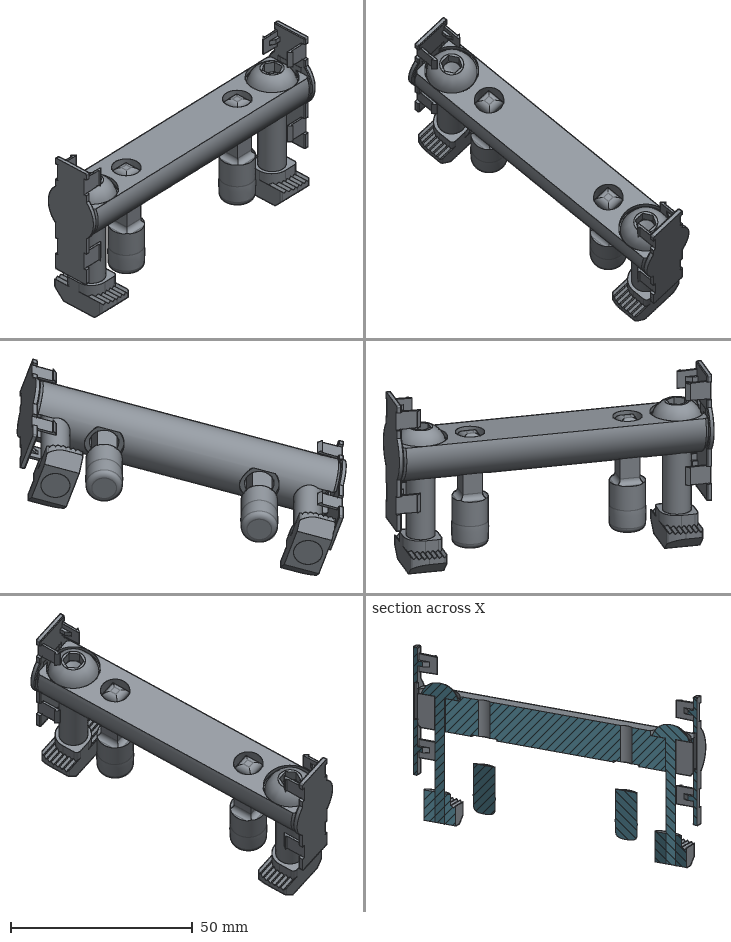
import cadquery as cq
import math

ENDS = (1, -1)
TOTAL_LENGTH = 89.8

plate_thickness = 1.35
plate_width = 11.7
plate_top = 15.7
plate_bottom = -21.55
plate_disc_diameter = 17.0
plate_corner_radius = 0.45
plate_edge_chamfer = 0.3
plate_recess_width = 8.6
plate_recess_height = 10.6
plate_recess_depth = 0.9

tab_root_height = 5.3
upper_tab_tip_height = 4.9
upper_tab_middle = 11.05
lower_tab_middle = -13.9
tab_outer_x = 5.0
tab_thickness = 0.6
tab_length = 7.1
barb_length = 1.2
barb_outer_x = 5.7
barb_tip_x = 4.7
rib_height = 1.5
rib_inner_x = 3.6
rib_straight_length = 2.9
rib_length = 4.7

bar_diameter = 16.6
bar_flat_height = 3.7
bar_end_chamfer = 0.8
bar_length = TOTAL_LENGTH - 2 * plate_thickness
head_pocket_diameter = 14.8
bolt_hole_diameter = 8.1
bolt_slot_width = 7.4
pin_hole_diameter = 8.1
pin_pocket_diameter = 11.0
pin_pocket_floor = -7.0

bolt_y = 36.55
shank_diameter = 8.0
head_diameter = 14.0
head_flat_diameter = 6.65
head_height = 4.4
head_top = 6.7
head_seat = head_top - head_height
dome_point = (6.2, 4.3)
socket_width = 5.0
socket_depth = 3.1
socket_cone_angle = 120.0

nut_length = 19.0
nut_width = 10.1
nut_foot_width = 11.7
nut_bottom = -34.3
nut_top = -25.3
wing_top = -28.4
nut_corner_radius = 0.6
neck_corner_radius = 1.3
teeth_per_wing = 7
tooth_pitch = nut_width / teeth_per_wing
tooth_depth = tooth_pitch / 2

pin_y = 22.45
pin_diameter = 10.1
pin_top = 3.6
pin_shoulder = -15.3
pin_bulge_top = -22.45
pin_bulge = 0.135
pin_bottom = -29.4
pin_bottom_radius = 1.6
pin_neck_width = 5.7
pin_flare_radius = 1.6
pin_tip_width = 1.9


def cylinder(diameter, bottom, top, y=0.0):
    """Upright cylinder between two heights."""
    return cq.Workplane("XY", origin=(0, y, bottom)).circle(diameter / 2).extrude(top - bottom)


def box(x_range, y_range, z_range):
    """Box between the two limits given for each axis."""
    corner = (x_range[0], y_range[0], z_range[0])
    size = (x_range[1] - x_range[0], y_range[1] - y_range[0], z_range[1] - z_range[0])
    return cq.Workplane("XY").box(*size, centered=False).translate(corner)


def make_bar():
    """Round bar with a flat on top, holes for the pins and open-ended seats for the bolts."""
    radius = bar_diameter / 2
    bar = (
        cq.Workplane("XZ").circle(radius).extrude(bar_length / 2, both=True)
        .faces("<Y or >Y").chamfer(bar_end_chamfer)
    )
    half_length = bar_length / 2
    bar = bar.cut(box((-radius, radius), (-half_length, half_length), (bar_flat_height, radius)))
    slot_half = bolt_slot_width / 2
    for end in ENDS:
        bar = bar.cut(cylinder(pin_hole_diameter, -radius, radius, end * pin_y))
        bar = bar.cut(cylinder(pin_pocket_diameter, -radius, pin_pocket_floor, end * pin_y))
        bar = bar.cut(cylinder(bolt_hole_diameter, -radius, radius, end * bolt_y))
        bar = bar.cut(cylinder(head_pocket_diameter, head_seat, radius, end * bolt_y))
        slot_ends = sorted((end * bolt_y, end * half_length))
        bar = bar.cut(box((-slot_half, slot_half), slot_ends, (-radius, head_seat)))
    return bar


def make_tab(side, middle_height, tip_height):
    """Snap tab of the +Y plate, with a barb that points outwards and a stiffening rib inside."""
    outer_face = TOTAL_LENGTH / 2
    inner_x = tab_outer_x - tab_thickness
    barb_y = outer_face - tab_length + barb_length
    tip_y = outer_face - tab_length
    outline = [
        (inner_x, outer_face),
        (tab_outer_x, outer_face),
        (tab_outer_x, barb_y),
        (barb_outer_x, barb_y),
        (barb_tip_x, tip_y),
        (inner_x, tip_y),
    ]
    rib_outline = [
        (inner_x, outer_face),
        (rib_inner_x, outer_face),
        (rib_inner_x, outer_face - rib_straight_length),
        (inner_x, outer_face - rib_length),
    ]

    def slab(points, height):
        return (
            cq.Workplane("XY", origin=(0, 0, middle_height - height / 2))
            .polyline([(side * x, y) for x, y in points]).close().extrude(height)
        )

    side_shape = (
        cq.Workplane("YZ", origin=(0, 0, middle_height))
        .polyline([
            (outer_face, -tab_root_height / 2),
            (outer_face, tab_root_height / 2),
            (tip_y, tip_height / 2),
            (tip_y, -tip_height / 2),
        ]).close().extrude(barb_outer_x, both=True)
    )
    tab = slab(outline, tab_root_height).intersect(side_shape)
    return tab.union(slab(rib_outline, rib_height))


def make_end_plate(end):
    """End plate with a disc across the bar end and four snap tabs in edge notches."""
    outer_face = TOTAL_LENGTH / 2
    inner_face = outer_face - plate_thickness
    half_width = plate_width / 2
    strip = (
        box((-half_width, half_width), (inner_face, outer_face), (plate_bottom, plate_top))
        .edges("|Y").fillet(plate_corner_radius)
    )
    disc = (
        cq.Workplane("XZ", origin=(0, outer_face, 0))
        .circle(plate_disc_diameter / 2).extrude(plate_thickness)
    )
    plate = strip.union(disc).faces("<Y").chamfer(plate_edge_chamfer)
    recess_half_width = plate_recess_width / 2
    recess_half_height = plate_recess_height / 2
    plate = plate.cut(box(
        (-recess_half_width, recess_half_width),
        (inner_face, inner_face + plate_recess_depth),
        (-recess_half_height, recess_half_height),
    ))
    tab_rows = ((upper_tab_middle, upper_tab_tip_height), (lower_tab_middle, tab_root_height))
    for middle_height, tip_height in tab_rows:
        z_range = (middle_height - tab_root_height / 2, middle_height + tab_root_height / 2)
        for side in (1, -1):
            x_range = sorted((side * tab_outer_x, side * half_width))
            plate = plate.cut(box(x_range, (inner_face, outer_face), z_range))
            plate = plate.union(make_tab(side, middle_height, tip_height))
    if end < 0:
        plate = plate.mirror("XZ")
    return plate


def make_bolt(end):
    """Button-head bolt with a hexagon socket; its shank ends flush with the nut."""
    shank_radius = shank_diameter / 2
    bolt = (
        cq.Workplane("XZ")
        .moveTo(0, nut_bottom)
        .lineTo(shank_radius, nut_bottom)
        .lineTo(shank_radius, head_seat)
        .lineTo(head_diameter / 2, head_seat)
        .threePointArc(dome_point, (head_flat_diameter / 2, head_top))
        .lineTo(0, head_top)
        .close()
        .revolve(360, (0, 0, 0), (0, 1, 0))
    )
    socket_floor = head_top - socket_depth
    across_corners = socket_width / math.cos(math.radians(30))
    socket = cq.Workplane("XY", origin=(0, 0, socket_floor)).polygon(6, across_corners).extrude(socket_depth)
    cone_depth = socket_width / 2 / math.tan(math.radians(socket_cone_angle / 2))
    cone = cq.Solid.makeCone(0, socket_width / 2, cone_depth, cq.Vector(0, 0, socket_floor - cone_depth))
    return bolt.cut(socket).cut(cq.Workplane(cone)).translate((0, end * bolt_y, 0))


def make_nut(end):
    """Hammer nut: sloped body, toothed wings, and a neck that has two large round corners."""
    half_length = nut_length / 2
    half_width = nut_width / 2
    shoulder = nut_bottom + half_length - nut_foot_width / 2
    body = (
        cq.Workplane("XZ", origin=(0, half_width, 0))
        .polyline([
            (-nut_foot_width / 2, nut_bottom),
            (nut_foot_width / 2, nut_bottom),
            (half_length, shoulder),
            (half_length, wing_top),
            (-half_length, wing_top),
            (-half_length, shoulder),
        ]).close().extrude(nut_width)
    )

    turn_x = math.sqrt(half_length**2 - half_width**2)
    outline = (
        cq.Workplane("XY", origin=(0, 0, nut_bottom))
        .moveTo(half_length, 0)
        .lineTo(half_length, half_width)
        .lineTo(-turn_x, half_width)
        .radiusArc((-half_length, 0), -half_length)
        .lineTo(-half_length, -half_width)
        .lineTo(turn_x, -half_width)
        .radiusArc((half_length, 0), -half_length)
        .close().extrude(nut_top - nut_bottom)
        .edges("|Z").edges(">Y or <Y").fillet(nut_corner_radius)
    )
    body = body.intersect(outline)

    for index in range(teeth_per_wing):
        valley_y = (index - (teeth_per_wing - 1) / 2) * tooth_pitch
        groove = (
            cq.Workplane("YZ", origin=(-half_length, 0, 0))
            .polyline([
                (valley_y - tooth_pitch / 2, wing_top),
                (valley_y, wing_top - tooth_depth),
                (valley_y + tooth_pitch / 2, wing_top),
            ]).close().extrude(nut_length)
        )
        body = body.cut(groove)

    neck_bottom = wing_top - tooth_depth
    neck = (
        cq.Workplane("XY", origin=(0, 0, neck_bottom))
        .rect(nut_width, nut_width).extrude(nut_top - neck_bottom)
    )
    small_corners = neck.edges("|Z").fillet(neck_corner_radius)
    round_neck = cylinder(nut_width, neck_bottom, nut_top)
    quadrants = box((0, half_width), (0, half_width), (neck_bottom, nut_top)).union(
        box((-half_width, 0), (-half_width, 0), (neck_bottom, nut_top))
    )
    neck = small_corners.intersect(quadrants).union(round_neck)
    nut = body.union(neck).cut(cylinder(shank_diameter, nut_bottom, nut_top))
    return nut.translate((0, end * bolt_y, 0))


def make_pin(end):
    """Pin with a round body, a square neck that flares into it, and a rounded square tip."""
    radius = pin_diameter / 2
    bulge_bottom = pin_bottom + pin_bottom_radius
    bulge_middle = (pin_bulge_top + bulge_bottom) / 2
    arc_middle_inset = pin_bottom_radius * (1 - math.sqrt(0.5))
    body = (
        cq.Workplane("XZ")
        .moveTo(0, pin_bottom)
        .lineTo(radius - pin_bottom_radius, pin_bottom)
        .threePointArc((radius - arc_middle_inset, pin_bottom + arc_middle_inset), (radius, bulge_bottom))
        .threePointArc((radius + pin_bulge, bulge_middle), (radius, pin_bulge_top))
        .lineTo(radius, pin_shoulder)
        .lineTo(0, pin_shoulder)
        .close()
        .revolve(360, (0, 0, 0), (0, 1, 0))
    )

    half_neck = pin_neck_width / 2
    half_tip = pin_tip_width / 2
    tip_radius = half_neck - half_tip
    flare_x = half_neck + pin_flare_radius
    flare_top = pin_shoulder + pin_flare_radius

    def neck_profile(plane):
        return (
            cq.Workplane(plane)
            .moveTo(-flare_x, pin_shoulder)
            .lineTo(flare_x, pin_shoulder)
            .radiusArc((half_neck, flare_top), pin_flare_radius)
            .lineTo(half_neck, pin_top - tip_radius)
            .radiusArc((half_tip, pin_top), -tip_radius)
            .lineTo(-half_tip, pin_top)
            .radiusArc((-half_neck, pin_top - tip_radius), -tip_radius)
            .lineTo(-half_neck, flare_top)
            .radiusArc((-flare_x, pin_shoulder), pin_flare_radius)
            .close().extrude(pin_diameter / 2, both=True)
        )

    neck = neck_profile("XZ").intersect(neck_profile("YZ"))
    neck = neck.intersect(cylinder(pin_diameter, pin_shoulder, pin_top))
    return body.union(neck).translate((0, end * pin_y, 0))


bar = make_bar()
end_plates = [make_end_plate(end) for end in ENDS]
bolts = [make_bolt(end) for end in ENDS]
nuts = [make_nut(end) for end in ENDS]
pins = [make_pin(end) for end in ENDS]

bodies = [bar, *end_plates, *bolts, *nuts, *pins]
result = cq.Compound.makeCompound([body.solids().val() for body in bodies])